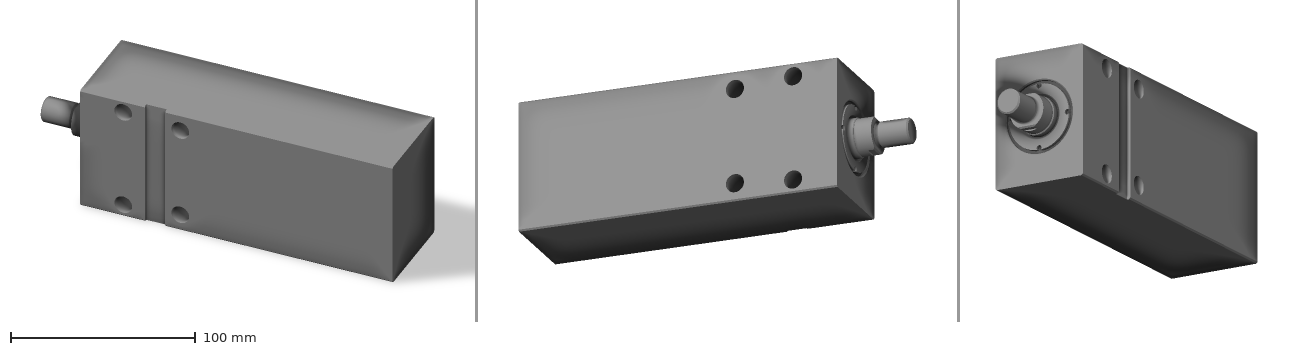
import cadquery as cq
import math


overall_length = 218.5

block_width = 55.0
block_height = 75.0
face_x = 33.0
edge_chamfer = 0.9

key_slot_x = 71.5
key_slot_width = 12.0
key_slot_depth = 2.0

bolt_hole_dia = 10.5
front_bolt_x = 58.5
front_bolt_spacing = 59.9
rear_bolt_x = 92.5
rear_bolt_spacing = 54.6

gland_radius = 20.8
gland_length = 26.2
gland_seat_chamfer = 0.7
gland_nose_radius = 18.8
gland_step_depth = 2.2
gland_mouth_chamfer = 1.3
spanner_hole_count = 4
spanner_hole_circle_radius = 17.7
spanner_hole_dia = 3.0
spanner_hole_depth = 2.2
drill_point_angle = 118.0

wiper_radius = 11.1
wiper_body_radius = 11.5
wiper_nose_x = 30.0
wiper_seat_depth = 6.5
wiper_nose_length = 0.5
wiper_lip_thickness = 0.2

rod_radius = 10.5
rod_shoulder_x = 19.9
stud_radius = 7.2
stud_tip_chamfer = 0.9
stud_length = 17.3
undercut_radius = 6.0
undercut_flare = 0.9
flat_half_width = 9.6
flat_end_x = 24.0
flat_bevel = 0.9

block_length = overall_length - face_x
gland_end_x = face_x + gland_length
wiper_end_x = face_x + wiper_seat_depth
wiper_seat_x = face_x + gland_mouth_chamfer


def revolve_about_x(profile):
    """Solid of revolution about the X axis from (x, radius) points."""
    return cq.Workplane("XY").polyline(profile).close().revolve(360, (0, 0, 0), (1, 0, 0))


def bolt_holes(x, spacing):
    """A pair of cylinders through the block along Y, one above the other."""
    return (
        cq.Workplane("XZ", origin=(x, 0, 0))
        .pushPoints([(0, -spacing / 2), (0, spacing / 2)])
        .circle(bolt_hole_dia / 2)
        .extrude(block_width / 2, both=True)
    )


def make_housing():
    block = (
        cq.Workplane("XY")
        .box(block_length, block_width, block_height)
        .edges("|X")
        .chamfer(edge_chamfer)
        .translate((face_x + block_length / 2, 0, 0))
    )
    key_slot = cq.Workplane("XY").box(
        key_slot_width, key_slot_depth, block_height, centered=(False, False, True)
    ).translate((key_slot_x, -block_width / 2, 0))
    gland_seat = revolve_about_x([
        (face_x, 0),
        (face_x, gland_radius + gland_seat_chamfer),
        (face_x + gland_seat_chamfer, gland_radius),
        (gland_end_x, gland_radius),
        (gland_end_x, 0),
    ])
    return (
        block.cut(key_slot)
        .cut(gland_seat)
        .cut(bolt_holes(front_bolt_x, front_bolt_spacing))
        .cut(bolt_holes(rear_bolt_x, rear_bolt_spacing))
    )


def make_gland():
    gland = revolve_about_x([
        (face_x, wiper_body_radius + gland_mouth_chamfer),
        (face_x, gland_nose_radius),
        (face_x + gland_step_depth, gland_nose_radius),
        (face_x + gland_step_depth, gland_radius),
        (gland_end_x, gland_radius),
        (gland_end_x, rod_radius),
        (wiper_end_x, rod_radius),
        (wiper_end_x, wiper_body_radius),
        (wiper_seat_x, wiper_body_radius),
    ])
    hole_radius = spanner_hole_dia / 2
    point_length = hole_radius / math.tan(math.radians(drill_point_angle / 2))
    spanner_hole = revolve_about_x([
        (face_x, 0),
        (face_x, hole_radius),
        (face_x + spanner_hole_depth, hole_radius),
        (face_x + spanner_hole_depth + point_length, 0),
    ]).translate((0, 0, spanner_hole_circle_radius))
    for i in range(spanner_hole_count):
        gland = gland.cut(spanner_hole.rotate((0, 0, 0), (1, 0, 0), i * 360 / spanner_hole_count))
    return gland


def make_wiper():
    return revolve_about_x([
        (wiper_nose_x, rod_radius),
        (wiper_nose_x, rod_radius + wiper_lip_thickness),
        (wiper_nose_x + wiper_nose_length, wiper_radius),
        (wiper_seat_x, wiper_radius),
        (wiper_seat_x, wiper_body_radius),
        (wiper_end_x, wiper_body_radius),
        (wiper_end_x, rod_radius),
    ])


def make_wrench_flat_cutter():
    """Removes the rod above one flat, with a bevel along the flat's front edge."""
    return (
        cq.Workplane("XZ")
        .moveTo(rod_shoulder_x, flat_half_width - flat_bevel)
        .lineTo(rod_shoulder_x + flat_bevel, flat_half_width)
        .lineTo(flat_end_x, flat_half_width)
        .lineTo(flat_end_x, rod_radius)
        .lineTo(rod_shoulder_x, rod_radius)
        .close()
        .extrude(rod_radius, both=True)
    )


def make_rod():
    rod = revolve_about_x([
        (0, 0),
        (0, stud_radius - stud_tip_chamfer),
        (stud_tip_chamfer, stud_radius),
        (stud_length, stud_radius),
        (stud_length + stud_radius - undercut_radius, undercut_radius),
        (rod_shoulder_x - undercut_flare, undercut_radius),
        (rod_shoulder_x, undercut_radius + undercut_flare),
        (rod_shoulder_x, rod_radius),
        (gland_end_x, rod_radius),
        (gland_end_x, 0),
    ])
    flat_cutter = make_wrench_flat_cutter()
    return rod.cut(flat_cutter).cut(flat_cutter.mirror("XY"))


housing = make_housing()
gland = make_gland()
wiper = make_wiper()
rod = make_rod()

result = cq.Compound.makeCompound([housing.val(), gland.val(), wiper.val(), rod.val()])